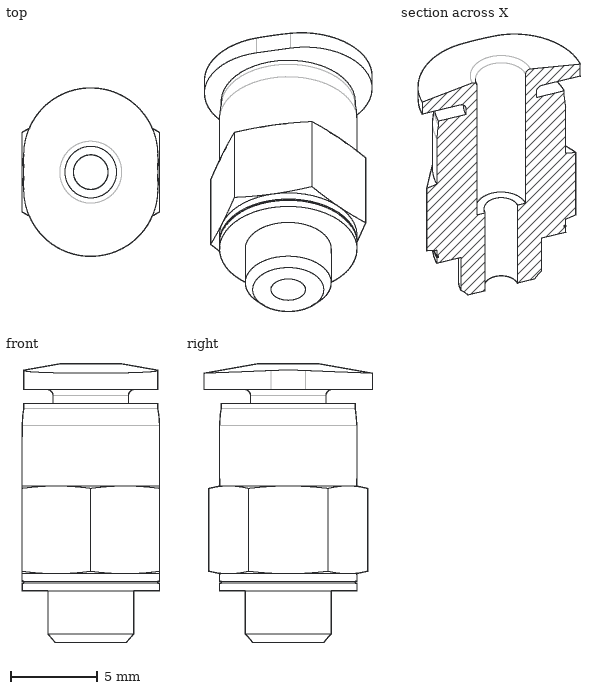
import cadquery as cq
import math

stem_bottom = 0.0
seat_bottom = 3.0
groove_bottom = 3.45
groove_top = 3.55
hex_bottom = 4.0
hex_top = 9.1
sleeve_blend_bottom = 12.6
sleeve_blend_top = 13.6
sleeve_top = 13.9
button_bottom = 14.7
button_top = 16.2

stem_radius = 5.0 / 2
body_radius = 8.0 / 2
sleeve_rim_radius = 7.8 / 2
neck_radius = 4.4 / 2
groove_depth = 0.1
stem_chamfer_height = 0.5
stem_chamfer_width = 0.433
neck_fillet = 0.35

hex_sides = 6
across_flats = 2 * body_radius
hex_chamfer_angle = 13.0

button_length = 9.8
button_width = 2 * sleeve_rim_radius
button_edge_drop = 0.55

bore_radius = 2.0 / 2
tube_radius = 3.0 / 2
tube_mouth_fillet = 0.3
tube_depth = 10.2

mouth_radius = tube_radius + tube_mouth_fillet


def make_core():
    """Stem, seat ring, groove, sleeve and neck as one turned body."""
    blend_height = sleeve_blend_top - sleeve_blend_bottom
    blend_width = body_radius - sleeve_rim_radius
    blend_radius = (blend_height**2 + blend_width**2) / (2 * blend_width)
    mid_height = blend_height / 2
    mid_inset = blend_radius - math.sqrt(blend_radius**2 - mid_height**2)

    flare_bottom = button_bottom - neck_fillet
    flare_mid_r = neck_radius + neck_fillet * (1 - math.cos(math.pi / 4))
    flare_mid_z = flare_bottom + neck_fillet * math.sin(math.pi / 4)

    return (
        cq.Workplane("XZ")
        .moveTo(0, stem_bottom)
        .lineTo(stem_radius - stem_chamfer_width, stem_bottom)
        .lineTo(stem_radius, stem_bottom + stem_chamfer_height)
        .lineTo(stem_radius, seat_bottom)
        .lineTo(body_radius, seat_bottom)
        .lineTo(body_radius, groove_bottom)
        .lineTo(body_radius - groove_depth, groove_bottom)
        .lineTo(body_radius - groove_depth, groove_top)
        .lineTo(body_radius, groove_top)
        .lineTo(body_radius, sleeve_blend_bottom)
        .threePointArc(
            (body_radius - mid_inset, sleeve_blend_bottom + mid_height),
            (sleeve_rim_radius, sleeve_blend_top),
        )
        .lineTo(sleeve_rim_radius, sleeve_top)
        .lineTo(neck_radius, sleeve_top)
        .lineTo(neck_radius, flare_bottom)
        .threePointArc((flare_mid_r, flare_mid_z), (neck_radius + neck_fillet, button_bottom))
        .lineTo(0, button_bottom)
        .close()
        .revolve(360, (0, 0), (0, 1))
    )


def make_hexagon():
    """Hexagon with flats facing +X and -X, its corners turned off conically at both ends."""
    corner_radius = across_flats / 2 / math.cos(math.pi / hex_sides)
    corner_drop = (corner_radius - body_radius) * math.tan(math.radians(hex_chamfer_angle))
    prism = (
        cq.Workplane("XY")
        .workplane(offset=hex_bottom)
        .transformed(rotate=(0, 0, 180 / hex_sides))
        .polygon(hex_sides, 2 * corner_radius)
        .extrude(hex_top - hex_bottom)
    )
    envelope = (
        cq.Workplane("XZ")
        .moveTo(0, hex_bottom)
        .lineTo(body_radius, hex_bottom)
        .lineTo(corner_radius, hex_bottom + corner_drop)
        .lineTo(corner_radius, hex_top - corner_drop)
        .lineTo(body_radius, hex_top)
        .lineTo(0, hex_top)
        .close()
        .revolve(360, (0, 0), (0, 1))
    )
    return prism.intersect(envelope)


def make_button():
    """Oblong release button, long along Y, with a conical top face around the tube mouth."""
    outline = (
        cq.Workplane("XY")
        .workplane(offset=button_bottom)
        .slot2D(button_length, button_width, 90)
        .extrude(button_top - button_bottom)
    )
    cone = (
        cq.Workplane("XZ")
        .moveTo(0, button_bottom)
        .lineTo(button_length / 2, button_bottom)
        .lineTo(button_length / 2, button_top - button_edge_drop)
        .lineTo(mouth_radius, button_top)
        .lineTo(0, button_top)
        .close()
        .revolve(360, (0, 0), (0, 1))
    )
    return outline.intersect(cone)


def make_bore():
    """Through bore, wider tube socket and its rounded mouth."""
    arc_mid_r = mouth_radius - tube_mouth_fillet * math.sin(math.pi / 4)
    arc_mid_z = button_top - tube_mouth_fillet * (1 - math.cos(math.pi / 4))
    socket_bottom = button_top - tube_depth
    return (
        cq.Workplane("XZ")
        .moveTo(0, stem_bottom)
        .lineTo(bore_radius, stem_bottom)
        .lineTo(bore_radius, socket_bottom)
        .lineTo(tube_radius, socket_bottom)
        .lineTo(tube_radius, button_top - tube_mouth_fillet)
        .threePointArc((arc_mid_r, arc_mid_z), (mouth_radius, button_top))
        .lineTo(0, button_top)
        .close()
        .revolve(360, (0, 0), (0, 1))
    )


result = make_core().union(make_hexagon()).union(make_button()).cut(make_bore())